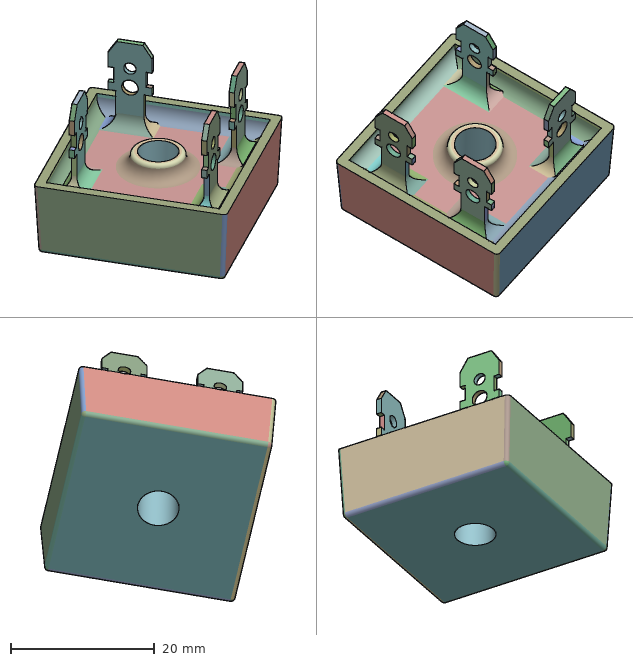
import cadquery as cq
import math

side = 28.0
total_height = 22.0
body_height = 11.0
draft_angle = 2.6
edge_radius = 0.6
wall = 1.43
resin_depth = 2.58
meniscus_radius = 2.0
resin_level = body_height - resin_depth
cavity_side = side - 2 * wall

meniscus_top = resin_level + meniscus_radius
meniscus_inset = meniscus_radius * (1 - math.sqrt(0.5))

bore_radius = 2.88
boss_radius = 3.9
boss_edge_radius = 0.55
boss_top = meniscus_top + boss_edge_radius

blade_thickness = 0.78
blade_width = 6.4
stem_width = 4.12
neck_width = 4.7
tip_width = 3.8
shoulder_drop = 2.0
notch_top_drop = 4.3
lug_top_drop = 6.72
lug_bottom_drop = 8.0
small_hole_diameter = 1.75
small_hole_drop = 4.1
large_hole_diameter = 2.38
large_hole_drop = 7.17
edge_offset = 9.6
side_offset = 6.8
blade_places = [
    (-side_offset, edge_offset, 0),
    (edge_offset, side_offset, 90),
    (edge_offset, -side_offset, 90),
    (-edge_offset, -side_offset, 90),
]


def make_housing():
    """Drafted box, widest at the rim, with rounded corners and bottom edges."""
    box = (
        cq.Workplane("XY", origin=(0, 0, body_height))
        .rect(side, side)
        .extrude(-body_height, taper=draft_angle)
    )
    box = box.edges("not(|X or |Y)").fillet(edge_radius)
    return box.faces("<Z").edges().fillet(edge_radius)


def make_cavity():
    """Space above the resin, rounded where the resin creeps up the walls."""
    block = (
        cq.Workplane("XY", origin=(0, 0, resin_level))
        .rect(cavity_side, cavity_side)
        .extrude(resin_depth)
    )
    return block.faces("<Z").edges().fillet(meniscus_radius)


def flare_profile(plane, half_width):
    """Section of resin that curves up against both sides of a stem."""
    base = half_width + meniscus_radius
    return (
        cq.Workplane(plane)
        .moveTo(-base, resin_level)
        .threePointArc(
            (-half_width - meniscus_inset, resin_level + meniscus_inset),
            (-half_width, meniscus_top),
        )
        .lineTo(half_width, meniscus_top)
        .threePointArc(
            (half_width + meniscus_inset, resin_level + meniscus_inset),
            (base, resin_level),
        )
        .close()
    )


def make_blade_meniscus():
    """Resin flare around a stem, mitred at its four corners."""
    reach = stem_width / 2 + meniscus_radius
    wide = flare_profile("XZ", stem_width / 2).extrude(reach, both=True)
    thin = flare_profile("YZ", blade_thickness / 2).extrude(reach, both=True)
    return wide.intersect(thin)


def make_blade():
    """Flat terminal with a chamfered tip, side notches, lugs and two holes."""
    right_edge = [
        (tip_width / 2, total_height),
        (blade_width / 2, total_height - shoulder_drop),
        (blade_width / 2, total_height - notch_top_drop),
        (neck_width / 2, total_height - notch_top_drop),
        (neck_width / 2, total_height - lug_top_drop),
        (blade_width / 2, total_height - lug_top_drop),
        (blade_width / 2, total_height - lug_bottom_drop),
        (stem_width / 2, total_height - lug_bottom_drop),
        (stem_width / 2, resin_level),
    ]
    left_edge = [(-x, z) for x, z in reversed(right_edge)]
    blade_plane = cq.Workplane("XZ", origin=(0, blade_thickness / 2, 0))
    blade = blade_plane.polyline(right_edge + left_edge).close().extrude(blade_thickness)
    for diameter, drop in (
        (small_hole_diameter, small_hole_drop),
        (large_hole_diameter, large_hole_drop),
    ):
        hole = blade_plane.center(0, total_height - drop).circle(diameter / 2).extrude(blade_thickness)
        blade = blade.cut(hole)
    return blade


def make_boss():
    """Round boss with a rounded top edge and a resin flare at its foot."""
    flare = (
        cq.Workplane("XZ")
        .moveTo(0, resin_level)
        .lineTo(boss_radius + meniscus_radius, resin_level)
        .threePointArc(
            (boss_radius + meniscus_inset, resin_level + meniscus_inset),
            (boss_radius, meniscus_top),
        )
        .lineTo(0, meniscus_top)
        .close()
        .revolve(360, (0, 0), (0, 1))
    )
    post = (
        cq.Workplane("XY", origin=(0, 0, resin_level))
        .circle(boss_radius)
        .extrude(boss_top - resin_level)
        .faces(">Z")
        .edges()
        .fillet(boss_edge_radius)
    )
    return post.union(flare)


result = make_housing().cut(make_cavity()).union(make_boss())

terminal = make_blade().union(make_blade_meniscus())
for x, y, angle in blade_places:
    placed = terminal.rotate((0, 0, 0), (0, 0, 1), angle).translate((x, y, 0))
    result = result.union(placed)

bore = cq.Workplane("XY").circle(bore_radius).extrude(total_height)
result = result.cut(bore)